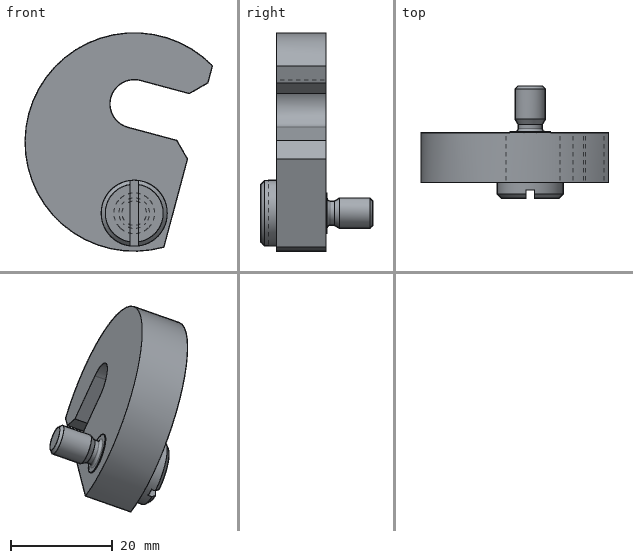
import cadquery as cq
import math

PLATE_RADIUS = 21.5
PLATE_THICKNESS = 9.8
TILT = 15.0
CHORD_DISTANCE = 11.0
SLOT_WIDTH = 9.5
SLOT_CENTRE_HEIGHT = 7.5
MOUTH_CHAMFER = 3.0

SCREW_HEIGHT = -14.0
HEAD_RADIUS = 6.5
HEAD_LENGTH = 3.1
HEAD_CHAMFER = 0.8
DRIVER_SLOT_WIDTH = 1.6
DRIVER_SLOT_DEPTH = 1.6
SHOULDER_RADIUS = 4.0
SHOULDER_STANDOUT = 0.2
THREAD_RADIUS = 3.0
THREAD_LENGTH = 9.0
TIP_CHAMFER = 0.6
UNDERCUT_RADIUS = 2.4
UNDERCUT_LENGTH = 2.45
UNDERCUT_FILLET = 0.6
UNDERCUT_CONE_ANGLE = 30.0


def make_plate():
    """Draw the plate with the slot along +X, then tilt it about the disc centre."""
    tilt = math.radians(TILT)
    slot_radius = SLOT_WIDTH / 2
    slot_x = -SLOT_CENTRE_HEIGHT * math.sin(tilt)
    slot_z = SLOT_CENTRE_HEIGHT * math.cos(tilt)
    slot_top = slot_z + slot_radius
    slot_bottom = slot_z - slot_radius
    chamfer_x = CHORD_DISTANCE - MOUTH_CHAMFER
    chord_half = math.sqrt(PLATE_RADIUS**2 - CHORD_DISTANCE**2)

    outline = (
        cq.Workplane("XZ")
        .moveTo(CHORD_DISTANCE, chord_half)
        .threePointArc((-PLATE_RADIUS, 0), (CHORD_DISTANCE, -chord_half))
        .lineTo(CHORD_DISTANCE, slot_bottom - MOUTH_CHAMFER)
        .lineTo(chamfer_x, slot_bottom)
        .lineTo(slot_x, slot_bottom)
        .threePointArc((slot_x - slot_radius, slot_z), (slot_x, slot_top))
        .lineTo(chamfer_x, slot_top)
        .lineTo(CHORD_DISTANCE, slot_top + MOUTH_CHAMFER)
        .close()
    )
    plate = outline.extrude(-PLATE_THICKNESS)
    return plate.rotate((0, 0, 0), (0, 1, 0), TILT)


def make_screw():
    """Revolve the screw profile about Y, cut the driver slot and set it in place."""
    shoulder_end = PLATE_THICKNESS + SHOULDER_STANDOUT
    tip = shoulder_end + THREAD_LENGTH
    thread_start = shoulder_end + UNDERCUT_LENGTH
    cone_rise = THREAD_RADIUS - UNDERCUT_RADIUS
    cone_length = cone_rise / math.tan(math.radians(UNDERCUT_CONE_ANGLE))
    fillet_bulge = UNDERCUT_FILLET * (1 - math.sqrt(0.5))

    screw = (
        cq.Workplane("XY")
        .moveTo(0, -HEAD_LENGTH)
        .lineTo(HEAD_RADIUS - HEAD_CHAMFER, -HEAD_LENGTH)
        .lineTo(HEAD_RADIUS, HEAD_CHAMFER - HEAD_LENGTH)
        .lineTo(HEAD_RADIUS, 0)
        .lineTo(SHOULDER_RADIUS, 0)
        .lineTo(SHOULDER_RADIUS, shoulder_end)
        .lineTo(UNDERCUT_RADIUS + UNDERCUT_FILLET, shoulder_end)
        .threePointArc(
            (UNDERCUT_RADIUS + fillet_bulge, shoulder_end + fillet_bulge),
            (UNDERCUT_RADIUS, shoulder_end + UNDERCUT_FILLET),
        )
        .lineTo(UNDERCUT_RADIUS, thread_start - cone_length)
        .lineTo(THREAD_RADIUS, thread_start)
        .lineTo(THREAD_RADIUS, tip - TIP_CHAMFER)
        .lineTo(THREAD_RADIUS - TIP_CHAMFER, tip)
        .lineTo(0, tip)
        .close()
        .revolve(360, (0, 0, 0), (0, 1, 0))
    )
    driver_slot = (
        cq.Workplane("XY")
        .box(DRIVER_SLOT_WIDTH, DRIVER_SLOT_DEPTH, 2 * HEAD_RADIUS)
        .translate((0, DRIVER_SLOT_DEPTH / 2 - HEAD_LENGTH, 0))
    )
    return screw.cut(driver_slot).translate((0, 0, SCREW_HEIGHT))


result = make_plate().union(make_screw())